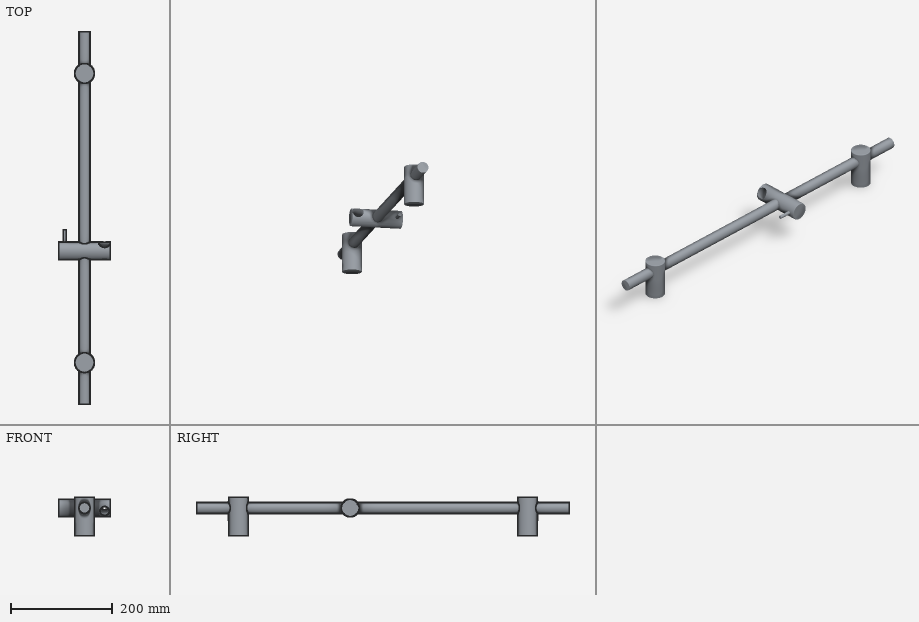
import cadquery as cq
import math

rail_length = 734.0
rail_diameter = 22.0
rail_height = 55.0

post_diameter = 39.0
post_height = 76.0
post_offset = 285.0
post_rounding = 1.5

slider_length = 102.0
slider_diameter = 35.0
slider_y = -64.5
slider_rounding = 1.5

pin_diameter = 6.5
pin_x = -39.0
pin_reach = 42.0

hole_x = 40.0
hole_rise = 1.0
hole_tilt = 26.0
hole_mid_diameter = 20.5
hole_half_taper = 4.0


def cylinder_along_y(diameter, length, x, y):
    """Cylinder at rail height that starts at (x, y) and runs toward +Y."""
    return cq.Workplane("XZ", origin=(x, y, rail_height)).circle(diameter / 2).extrude(-length)


def make_rail():
    return cylinder_along_y(rail_diameter, rail_length, 0, -rail_length / 2)


def make_post(y):
    """Post with a rounded top rim and a through hole for the rail."""
    post = cq.Workplane("XY").center(0, y).circle(post_diameter / 2).extrude(post_height)
    return post.faces(">Z").edges().fillet(post_rounding).cut(make_rail())


def make_barrel():
    barrel = (
        cq.Workplane("YZ", origin=(-slider_length / 2, slider_y, rail_height))
        .circle(slider_diameter / 2)
        .extrude(slider_length)
    )
    return barrel.faces("<X or >X").edges().fillet(slider_rounding)


def make_handset_hole():
    """Cone, wider at its upper end, long enough to pass through the barrel."""
    half_length = slider_diameter
    spread = half_length * math.tan(math.radians(hole_half_taper))
    tilt = math.radians(hole_tilt)
    axis = cq.Vector(0, math.cos(tilt), math.sin(tilt))
    middle = cq.Vector(hole_x, slider_y, rail_height + hole_rise)
    cone = cq.Solid.makeCone(
        hole_mid_diameter / 2 - spread,
        hole_mid_diameter / 2 + spread,
        2 * half_length,
        middle - axis * half_length,
        axis,
    )
    return cq.Workplane(cone)


def make_slider():
    """Barrel with its lever pin, handset hole and a through hole for the rail."""
    pin = cylinder_along_y(pin_diameter, pin_reach, pin_x, slider_y)
    return make_barrel().union(pin).cut(make_handset_hole()).cut(make_rail())


rail = make_rail()
posts = [make_post(y).solids().val() for y in (-post_offset, post_offset)]
slider = make_slider().solids()

result = cq.Compound.makeCompound([rail.val(), *posts, slider.val()])